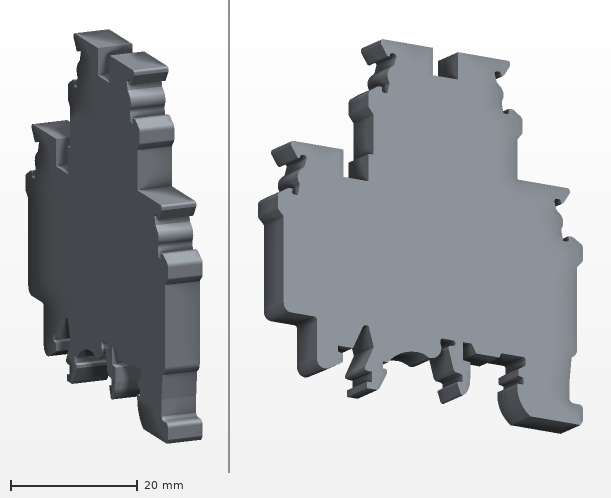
import cadquery as cq
import math


length = 57.0
height = 58.0
thickness = 6.0

level_rise = 19.3
lower_top = height - level_rise
lower_axis = length / 2
lower_half = length / 2
upper_axis = 31.3
upper_half = 14.4

wall_inset = 1.1
lower_bulge = 2.5
upper_bulge = 2.3
wall_offset = lower_bulge - wall_inset
edge_depth = 12.7
edge_root = 4.05

slot_width = 4.7
slot_depth = 4.5
upper_slot_x = upper_axis
lower_slot_x = upper_axis - upper_half - slot_width / 2

detail_y = 0.35
inlay_depth = 0.6
screw_inset = 8.0
screw_radius = 2.1
driver_slot_width = 1.05
test_hole_radius = 1.1
entry_height = 6.1
entry_margin = 0.05
entry_width = thickness - 2 * entry_margin
entry_mouth_width = 3.15
entry_mouth_height = 3.95

base_z = 10.3
corner_radius = 1.4
leg_x = 7.3
leg_fillet = 0.5
leg_tip_radius = 1.45
leg_tip_slope = math.radians(27.5)
arch_bump_radius = 2.1


def plate(start, steps):
    """Full-thickness plate; a step of one point is a line, of two points an arc through the first."""
    sketch = cq.Workplane("XZ").moveTo(*start)
    for step in steps:
        if len(step) == 1:
            sketch = sketch.lineTo(*step[0])
        else:
            sketch = sketch.threePointArc(*step)
    return sketch.close().extrude(thickness / 2, both=True)


def block(x_min, x_max, z_min, z_max):
    """Full-thickness rectangular block."""
    return plate((x_min, z_min), [[(x_max, z_min)], [(x_max, z_max)], [(x_min, z_max)]])


def on_circle(center, radius, angle):
    return (center[0] + radius * math.cos(angle), center[1] + radius * math.sin(angle))


def terminal_edge(bulge):
    """Left terminal edge with the lip at X = 0 and the top at Z = 0."""
    steps = [
        [(0.4, 0)],
        [(0.1, -0.1), (0, -0.4)],
        [(0, -0.8)],
        [(1.1, -2.5)],
        [(1.35, -2.65), (1.6, -2.65)],
        [(1.75, -2.2)],
        [(2.05, -2.05)],
        [(2.65, -2.1)],
        [(2.9, -2.45)],
        [(2.5, -3.9)],
        [(2.0, -4.35)],
        [(1.2, -5.75), (1.5, -6.8)],
        [(1.55, -7.15), (1.5, -7.5)],
        [(1.2, -8.8)],
        [(0.45, -8.8)],
        [(0.2, -8.6)],
        [(0.25, -7.9)],
        [(-0.5, -7.9)],
        [(0.3 - bulge, -8.9)],
        [(0.1 - bulge, -9.1), (-bulge, -9.6)],
        [(-bulge, -11.35)],
        [(0.05 - bulge, -11.6), (0.25 - bulge, -11.85)],
        [(-wall_offset, -edge_depth)],
        [(edge_root, -edge_depth)],
    ]
    return plate((edge_root, 0), steps)


def level(axis, half_width, top, bulge):
    """Upper part of one level: a core with a terminal edge on either side."""
    lip_x = axis - half_width + bulge
    core_half = axis - lip_x - edge_root
    core = block(axis - core_half, axis + core_half, top - edge_depth, top)
    left_edge = terminal_edge(bulge).translate((lip_x, 0, top))
    right_edge = left_edge.mirror("YZ", (axis, 0, 0))
    return core.union(left_edge).union(right_edge)


def rail_body():
    """Lower body with the feet that clip onto the rail, drawn from its left corner."""
    left_wall = wall_inset
    right_wall = length - wall_inset
    shoulder_z = lower_top - edge_depth

    corner = (left_wall + corner_radius, base_z + corner_radius)
    left_corner = [
        [(left_wall, corner[1])],
        [on_circle(corner, corner_radius, math.radians(225)), (corner[0], base_z)],
    ]

    fillet = (leg_x - leg_fillet, base_z - leg_fillet)
    tip = (leg_x + leg_tip_radius, 3.5)
    left_leg = [
        [(fillet[0], base_z)],
        [on_circle(fillet, leg_fillet, math.radians(45)), (leg_x, fillet[1])],
        [(leg_x, tip[1])],
        [
            on_circle(tip, leg_tip_radius, math.radians(225)),
            on_circle(tip, leg_tip_radius, leg_tip_slope - math.pi / 2),
        ],
        [(11.95, 3.5)],
        [(12.2, 3.7)],
        [(12.2, 5.1)],
        [(11.8, 5.1)],
        [(11.25, 5.3)],
        [(11.25, 6.2)],
        [(14.05, 6.2)],
        [(15.9, 10.05)],
        [(16.2, base_z)],
    ]

    latch_hook = [
        [(16.95, base_z)],
        [(17.9, 6.95)],
        [(16.3, 3.5)],
        [(16.3, 3.0)],
        [(16.9, 2.85)],
        [(17.65, 2.85)],
        [(17.65, 1.1)],
        [(16.65, 1.1)],
        [(16.65, 0)],
        [(18.6, 0)],
        [(19.1, 0.45)],
        [(20.4, 3.0)],
        [(20.4, 3.55)],
        [(20.2, 3.7)],
        [(19.65, 3.7)],
        [(19.65, 4.9)],
        [(20.6, 4.9)],
    ]

    bump = (28.5, 8.9)
    arch = [
        [(23.3, 6.85), (25.9, 7.35)],
        [(27.15, 7.25), (28.2, bump[1] - arch_bump_radius)],
        [
            on_circle(bump, arch_bump_radius, math.radians(-45)),
            on_circle(bump, arch_bump_radius, 0),
        ],
        [(30.35, 9.5)],
        [(30.35, 10.05)],
        [(30.6, base_z)],
    ]

    spring_hook = [
        [(32.75, base_z)],
        [(33.2, 9.85), (32.75, 9.4)],
        [(32.35, 9.4)],
        [(31.95, 9.15), (31.95, 8.65)],
        [(32.8, 5.5)],
        [(33.25, 5.1)],
        [(33.9, 5.1)],
        [(34.45, 4.9)],
        [(34.45, 3.7)],
        [(33.7, 3.7)],
        [(33.5, 3.4)],
        [(34.05, 2.05)],
        [(34.35, 1.6), (34.8, 1.7)],
        [(35.5, 2.5), (35.85, 3.5)],
        [(35.95, 4.75)],
        [(35.95, 7.2)],
        [(34.6, 7.35)],
        [(34.6, base_z)],
    ]

    rail_seat = [
        [(36.2, base_z)],
        [(37.05, 8.8)],
        [(41.4, 8.8)],
        [(41.7, 9.55)],
        [(46.0, 9.55)],
        [(46.3, 9.3)],
        [(46.3, 8.25)],
        [(44.95, 7.4)],
        [(44.95, 6.4)],
        [(45.9, 6.15)],
        [(45.9, 5.05)],
        [(44.7, 5.05)],
    ]

    right_foot = [
        [(44.7, 4.4)],
        [(45.5, 1.8), (47.2, 0)],
        [(56.55, 0)],
        [(length, 0.75)],
        [(length, 2.7)],
        [(56.85, 3.15), (56.45, 3.35)],
        [(55.15, 3.35)],
        [(54.7, 3.6), (54.45, 3.95)],
        [(54.45, 6.7)],
        [(54.85, 10.9)],
        [(55.6, 11.5), (right_wall, 12.4)],
        [(right_wall, shoulder_z)],
    ]

    steps = left_corner + left_leg + latch_hook + arch + spring_hook + rail_seat + right_foot
    return plate((left_wall, shoulder_z), steps)


def slot(center_x, top):
    """Open slot through the thickness between two terminals."""
    half_width = slot_width / 2
    return block(center_x - half_width, center_x + half_width, top - slot_depth, top)


def disc(x, top, radius):
    """Cylinder ending flush with a top face."""
    center = (x, detail_y, top - inlay_depth)
    return cq.Workplane("XY", origin=center).circle(radius).extrude(inlay_depth)


def driver_slot(x, top):
    """Diagonal strip across a screw head, flush with it."""
    bar = cq.Workplane("XY").box(
        2 * screw_radius, driver_slot_width, inlay_depth, centered=(True, True, False)
    )
    bar = bar.rotate((0, 0, 0), (0, 0, 1), -45).translate((x, detail_y, top - inlay_depth))
    return bar.intersect(disc(x, top, screw_radius))


def wire_entry(wall_x, top):
    """Flush framed wire entry on the left wall: four trapezoids around the mouth."""
    z_mid = top - edge_depth - entry_height / 2
    signs = [(-1, -1), (1, -1), (1, 1), (-1, 1)]
    outer = [(sy * entry_width / 2, z_mid + sz * entry_height / 2) for sy, sz in signs]
    mouth = [
        (detail_y + sy * entry_mouth_width / 2, z_mid + sz * entry_mouth_height / 2)
        for sy, sz in signs
    ]
    wall = cq.Workplane("YZ", origin=(wall_x, 0, 0))
    panels = []
    for i in range(len(signs)):
        j = (i + 1) % len(signs)
        corners = [outer[i], outer[j], mouth[j], mouth[i]]
        panels.append(wall.polyline(corners).close().extrude(inlay_depth))
    return panels


upper_wall_half = upper_half - upper_bulge + wall_offset
tower_left = upper_axis - upper_wall_half
tower_right = upper_axis + upper_wall_half
tower = block(tower_left, tower_right, lower_top - slot_depth, height - edge_depth)
body = (
    rail_body()
    .union(level(lower_axis, lower_half, lower_top, lower_bulge))
    .union(tower)
    .union(level(upper_axis, upper_half, height, upper_bulge))
    .cut(slot(upper_slot_x, height))
    .cut(slot(lower_slot_x, lower_top))
)

inlays = []
levels = [(lower_axis, lower_half, lower_top), (upper_axis, upper_half, height)]
for axis, half_width, top in levels:
    for side in (-1, 1):
        screw_x = axis + side * (half_width - screw_inset)
        inlays.append(disc(screw_x, top, screw_radius))
        inlays.append(driver_slot(screw_x, top))

for slot_x, top in [(lower_slot_x, lower_top), (upper_slot_x, height)]:
    inlays.append(disc(slot_x, top - slot_depth, test_hole_radius))

inlays += wire_entry(wall_inset, lower_top)
inlays += wire_entry(tower_left, height)

result = body
for inlay in inlays:
    result = result.union(inlay, clean=False)